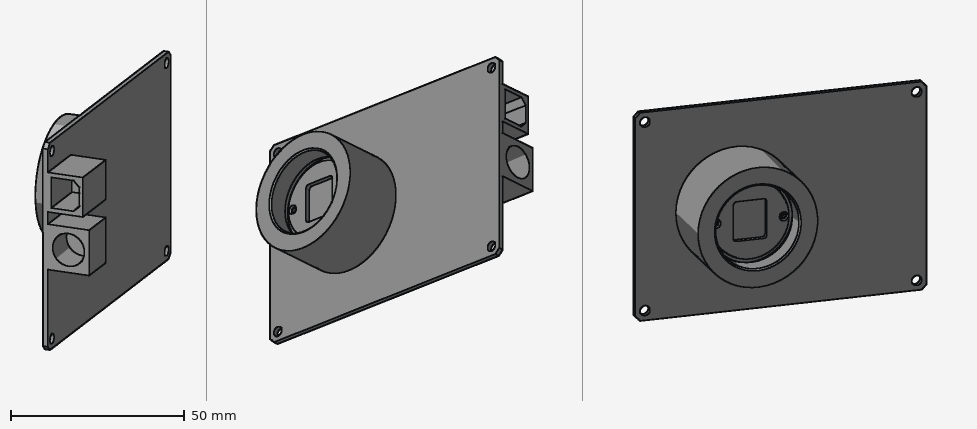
import cadquery as cq

board_thickness = 1.6
board_length = 88.9
board_height = 63.5
board_corner_chamfer = 1.5
mount_hole_diameter = 3.0
mount_hole_inset = 3.0

barrel_y = 13.8
barrel_length = 19.8
barrel_diameter = 36.5
bore_diameter = 25.4
bore_depth = 6.3
mouth_chamfer = 0.5
relief_diameter = 26.4
relief_depth = 8.0
pedestal_diameter = 23.7
pedestal_depth = 6.9

window_width = 10.2
window_height = 12.1
window_corner_radius = 1.0
window_depth = 1.5
screw_spacing = 20.6
screw_head_diameter = 2.7
screw_seat_diameter = 1.8
screw_hole_diameter = 1.3
screw_countersink_depth = 0.6
screw_hole_depth = 2.0

usb_width = 11.0
usb_height = 12.1
usb_length = 16.6
usb_z = 17.1
usb_wall = 1.05
usb_opening_height = 9.4
usb_opening_chamfer = 1.9
usb_opening_depth = 15.0
jack_width = 13.0
jack_height = 13.9
jack_length = 12.0
jack_z = 0.35
jack_bore_diameter = 10.0
jack_bore_depth = 10.0

barrel_front_x = -barrel_length
connector_front_y = -board_length / 2


def axial_cylinder(diameter, x_start, x_end, y=barrel_y):
    """Cylinder along X, level with the middle of the board."""
    return (
        cq.Workplane("YZ", origin=(x_start, y, 0))
        .circle(diameter / 2)
        .extrude(x_end - x_start)
    )


def axial_cone(start_diameter, end_diameter, x_start, x_end, y=barrel_y):
    """Truncated cone along X, level with the middle of the board."""
    return (
        cq.Workplane("YZ", origin=(x_start, y, 0))
        .circle(start_diameter / 2)
        .workplane(offset=x_end - x_start)
        .circle(end_diameter / 2)
        .loft()
    )


def make_board():
    hole_spacing_y = board_length - 2 * mount_hole_inset
    hole_spacing_z = board_height - 2 * mount_hole_inset
    return (
        cq.Workplane("YZ")
        .rect(board_length, board_height)
        .extrude(board_thickness)
        .edges("|X")
        .chamfer(board_corner_chamfer)
        .faces("<X")
        .workplane(origin=(0, 0, 0))
        .rect(hole_spacing_y, hole_spacing_z, forConstruction=True)
        .vertices()
        .hole(mount_hole_diameter)
    )


def make_screw_hole(y):
    """Cutter for one countersunk blind screw hole in the pedestal."""
    top_x = barrel_front_x + pedestal_depth
    seat_x = top_x + screw_countersink_depth
    countersink = axial_cone(screw_head_diameter, screw_seat_diameter, top_x, seat_x, y)
    return countersink.union(axial_cylinder(screw_hole_diameter, top_x, top_x + screw_hole_depth, y))


def make_barrel():
    bore_end_x = barrel_front_x + bore_depth
    relief_end_x = barrel_front_x + relief_depth
    pedestal_x = barrel_front_x + pedestal_depth
    barrel = axial_cylinder(barrel_diameter, barrel_front_x, 0)

    mouth_diameter = bore_diameter + 2 * mouth_chamfer
    barrel = barrel.cut(axial_cylinder(bore_diameter, barrel_front_x, bore_end_x))
    barrel = barrel.cut(
        axial_cone(mouth_diameter, bore_diameter, barrel_front_x, barrel_front_x + mouth_chamfer)
    )
    barrel = barrel.cut(axial_cylinder(relief_diameter, bore_end_x, relief_end_x))

    barrel = barrel.union(axial_cylinder(pedestal_diameter, pedestal_x, relief_end_x))

    window = (
        cq.Workplane("YZ", origin=(pedestal_x, barrel_y, 0))
        .rect(window_width, window_height)
        .extrude(window_depth)
        .edges("|X")
        .fillet(window_corner_radius)
    )
    barrel = barrel.cut(window)
    for side in (-1, 1):
        barrel = barrel.cut(make_screw_hole(barrel_y + side * screw_spacing / 2))
    return barrel


def make_connector_block(width, length, height, z):
    """Rectangular housing standing on the back of the board."""
    return cq.Workplane("XY").box(width, length, height, centered=(False, False, True)).translate(
        (board_thickness, connector_front_y, z)
    )


def connector_opening_plane(width, z):
    """Plane on the open end of a connector, its normal pointing out along -Y."""
    return cq.Workplane("XZ", origin=(board_thickness + width / 2, connector_front_y, z))


def make_usb_connector():
    block = make_connector_block(usb_width, usb_length, usb_height, usb_z)
    opening = (
        connector_opening_plane(usb_width, usb_z)
        .rect(usb_width - 2 * usb_wall, usb_opening_height)
        .extrude(-usb_opening_depth)
        .edges("|Y and >X")
        .chamfer(usb_opening_chamfer)
    )
    return block.cut(opening)


def make_power_jack():
    block = make_connector_block(jack_width, jack_length, jack_height, jack_z)
    bore = (
        connector_opening_plane(jack_width, jack_z)
        .circle(jack_bore_diameter / 2)
        .extrude(-jack_bore_depth)
    )
    return block.cut(bore)


result = make_board().union(make_barrel()).union(make_usb_connector()).union(make_power_jack())